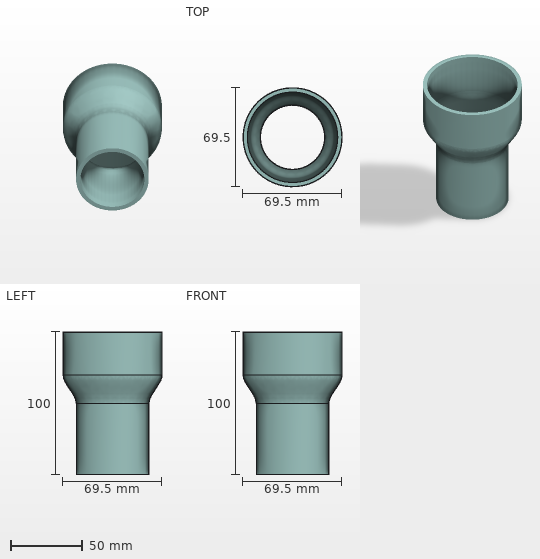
import cadquery as cq

wall = 3.0
large_outer_radius = 69.5 / 2
small_outer_radius = 51.0 / 2
small_pipe_length = 50.0
reducer_length = 20.0
large_pipe_length = 30.0

bend_handle = reducer_length / 3

reducer_bottom = small_pipe_length
reducer_top = reducer_bottom + reducer_length


def pipe(outer_radius, bottom, length):
    """Straight tube standing on the level `bottom`."""
    return (
        cq.Workplane("XY", origin=(0, 0, bottom))
        .circle(outer_radius)
        .circle(outer_radius - wall)
        .extrude(length)
    )


def reducer():
    """S-shaped ring that runs tangent into the pipe at each end."""
    lower_control = reducer_bottom + bend_handle
    upper_control = reducer_top - bend_handle
    small_inner_radius = small_outer_radius - wall
    large_inner_radius = large_outer_radius - wall
    return (
        cq.Workplane("XZ")
        .moveTo(small_outer_radius, reducer_bottom)
        .bezier(
            [
                (small_outer_radius, lower_control),
                (large_outer_radius, upper_control),
                (large_outer_radius, reducer_top),
            ],
            includeCurrent=True,
        )
        .lineTo(large_inner_radius, reducer_top)
        .bezier(
            [
                (large_inner_radius, upper_control),
                (small_inner_radius, lower_control),
                (small_inner_radius, reducer_bottom),
            ],
            includeCurrent=True,
        )
        .close()
        .revolve(360, (0, 0, 0), (0, 1, 0))
    )


small_pipe = pipe(small_outer_radius, 0, small_pipe_length)
reducer_ring = reducer()
large_pipe = pipe(large_outer_radius, reducer_top, large_pipe_length)

result = cq.Compound.makeCompound([small_pipe.val(), reducer_ring.val(), large_pipe.val()])